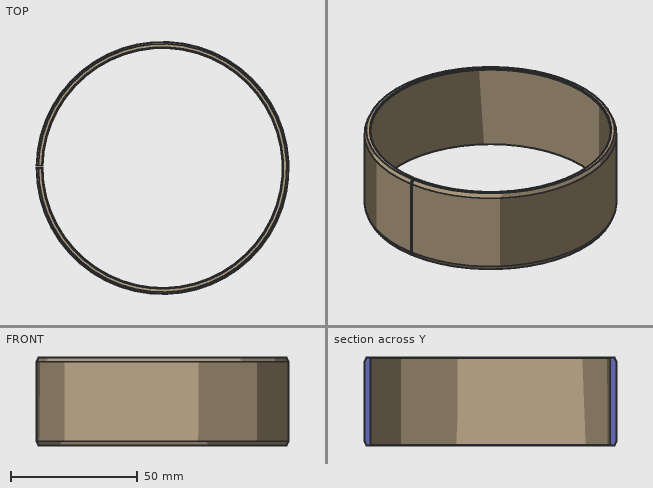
import cadquery as cq

outer_diameter = 100.0
wall = 2.5
height = 35.0
outer_chamfer_height = 1.8
outer_chamfer_width = 0.8
inner_chamfer = 0.4
split_angle = 1.0

outer_radius = outer_diameter / 2
inner_radius = outer_radius - wall
outer_rim_radius = outer_radius - outer_chamfer_width
inner_rim_radius = inner_radius + inner_chamfer


def wall_section():
    """Wall profile on the -X side, chamfered at all four rims."""
    points = [
        (-inner_rim_radius, 0),
        (-outer_rim_radius, 0),
        (-outer_radius, outer_chamfer_height),
        (-outer_radius, height - outer_chamfer_height),
        (-outer_rim_radius, height),
        (-inner_rim_radius, height),
        (-inner_radius, height - inner_chamfer),
        (-inner_radius, inner_chamfer),
    ]
    return cq.Workplane("XZ").polyline(points).close()


result = wall_section().revolve(360 - split_angle, (0, 0), (0, 1))